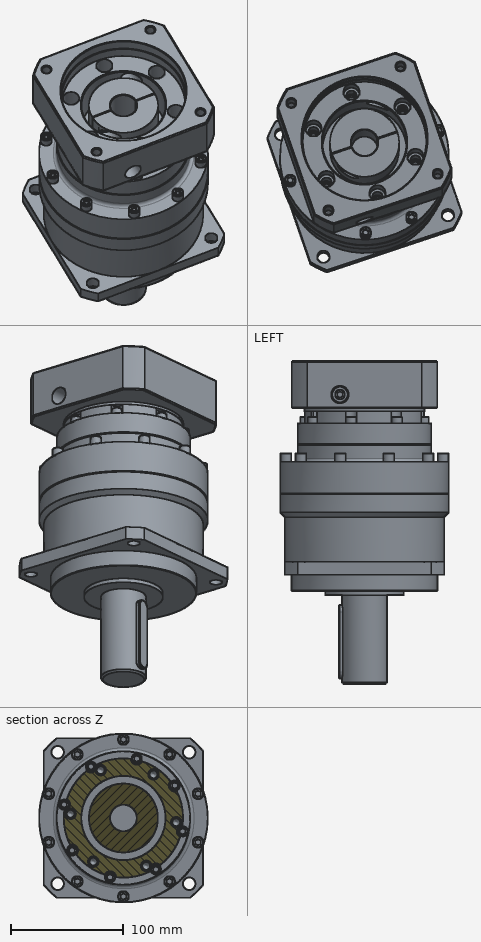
import cadquery as cq
import math

shaft_end_z = 0.0
collar_bottom_z = 79.0
pilot_bottom_z = 82.7
plate_bottom_z = 97.0
plate_top_z = 108.5
ring_bottom_z = 152.5
ring_seam_z = 169.0
ring_top_z = 197.5
neck_seam_z = 212.7
gearbox_top_z = 231.5
relief_top_z = 242.2
adapter_bottom_z = 244.8
total_height = 287.0

shaft_radius = 20.0
shaft_chamfer = 1.7
collar_radius = 35.0
pilot_radius = 65.0
pilot_chamfer = 0.5
barrel_radius = 71.0
plate_width = 2 * barrel_radius
plate_corner_radius = 92.5
plate_hole_radius = 5.5
plate_hole_spacing = 116.8
ring_diameter = 150.0
ring_radius = ring_diameter / 2
ring_taper = ring_radius - barrel_radius
input_neck_radius = 59.5
input_neck_fillet = 3.2
seam_depth = 0.5

key_width = 12.0
key_length = 65.5
key_bottom_z = 5.0
key_height = 23.0
key_chamfer = 1.0

screw_head_chamfer = 0.5
hex_across_flats = 5.0
hex_depth = 3.0

ring_screw_count = 10
ring_screw_circle = 69.7
ring_screw_first_angle = 90.0
ring_screw_height = 7.7
ring_screw_radius = 5.0

neck_screw_count = 8
neck_screw_circle = 54.0
neck_screw_first_angle = -12.7
neck_screw_height = 5.7
neck_screw_radius = 4.5
neck_screw_relief_radius = 5.2

adapter_width = 129.5
adapter_corner_radius = 82.5
adapter_chamfer = 1.1
spigot_radius = 53.0
spigot_band_radius = 53.5

recess_depth = 20.5
recess_step_depth = 10.3
recess_radius = 55.7
recess_lower_radius = 54.8
recess_chamfer = 0.5
hub_opening_radius = 37.3
hub_opening_chamfer = 1.0

motor_hole_spacing = 102.5
motor_hole_radius = 3.7
motor_hole_depth = 20.0
motor_hole_chamfer = 1.0

fixing_count = 6
fixing_circle = 47.0
fixing_first_angle = -4.6
fixing_counterbore_radius = 7.2
fixing_hole_radius = 4.5
fixing_thread_radius = 3.5
fixing_thread_depth = 8.5
fixing_floor_z = 248.3

hub_radius = 30.7
hub_drop = 1.0
hub_bore_radius = 11.8
hub_bore_chamfer = 0.5
hub_slot_width = 1.1
hub_slot_depth = 20.0
clamp_offset = 21.8
clamp_z = 257.2
clamp_access_radius = 7.7
clamp_pocket_radius = 7.0
clamp_pocket_floor = 8.5
clamp_head_radius = 4.3
clamp_head_length = 3.0

recess_floor_z = total_height - recess_depth
hub_top_z = recess_floor_z - hub_drop
long_cut = adapter_width


def cylinder(radius, bottom, top):
    return cq.Workplane("XY").workplane(offset=bottom).circle(radius).extrude(top - bottom)


def circle_points(radius, count, first_angle):
    angles = [math.radians(first_angle + i * 360 / count) for i in range(count)]
    return [(radius * math.cos(a), radius * math.sin(a)) for a in angles]


def square_points(spacing):
    return [(sx * spacing / 2, sy * spacing / 2) for sx in (-1, 1) for sy in (-1, 1)]


def round_cornered_block(width, corner_radius, bottom, top):
    block = cq.Workplane("XY").workplane(offset=bottom).rect(width, width).extrude(top - bottom)
    return block.intersect(cylinder(corner_radius, bottom, top))


def turned(profile):
    """Revolve (radius, z) points about the Z axis."""
    return cq.Workplane("XZ").polyline(profile).close().revolve(360, (0, 0), (0, 1))


def blind_hole(top, radius, depth):
    """A hole on the Z axis with a 45 degree drill tip, opening upwards."""
    return turned([(0, top), (radius, top), (radius, top - depth), (0, top - depth - radius)])


def countersink(top, radius, size):
    """A 45 degree bevel around the mouth of a hole on the Z axis."""
    return turned([(0, top), (radius + size, top), (radius, top - size), (0, top - size)])


def cap_screw_heads(points, base, radius, height):
    """Socket heads standing on the plane z = base."""
    heads = cq.Workplane("XY").workplane(offset=base).pushPoints(points).circle(radius)
    heads = heads.extrude(height).faces(">Z").chamfer(screw_head_chamfer)
    sockets = cq.Workplane("XY").workplane(offset=base + height).pushPoints(points)
    sockets = sockets.polygon(6, hex_across_flats, circumscribed=True).extrude(-hex_depth)
    return heads.cut(sockets)


def seam_groove(radius, z):
    return turned([(radius - seam_depth, z), (radius, z + seam_depth), (radius, z - seam_depth)])


def shaft_key():
    middle_z = key_bottom_z + key_length / 2
    key = cq.Workplane("XZ").center(0, middle_z).slot2D(key_length, key_width, 90).extrude(-key_height)
    return key.faces(">Y").chamfer(key_chamfer)


def gearbox_housing():
    shaft = cylinder(shaft_radius, shaft_end_z, pilot_bottom_z).faces("<Z").chamfer(shaft_chamfer)
    collar = cylinder(collar_radius, collar_bottom_z, pilot_bottom_z)
    pilot = cylinder(pilot_radius, pilot_bottom_z, plate_bottom_z).faces("<Z").chamfer(pilot_chamfer)
    barrel = cylinder(barrel_radius, plate_bottom_z, ring_bottom_z)

    plate = round_cornered_block(plate_width, plate_corner_radius, plate_bottom_z, plate_top_z)
    mounting_holes = cq.Workplane("XY").workplane(offset=plate_bottom_z)
    mounting_holes = mounting_holes.pushPoints(square_points(plate_hole_spacing))
    plate = plate.cut(mounting_holes.circle(plate_hole_radius).extrude(plate_top_z - plate_bottom_z))

    ring = cylinder(ring_radius, ring_bottom_z - ring_taper, ring_top_z)
    ring = ring.faces("<Z").chamfer(ring_taper)
    neck = cylinder(input_neck_radius, ring_top_z, gearbox_top_z)

    root = cylinder(input_neck_radius + input_neck_fillet, ring_top_z, ring_top_z + input_neck_fillet)
    root_hollow = cq.Solid.makeTorus(
        input_neck_radius + input_neck_fillet,
        input_neck_fillet,
        cq.Vector(0, 0, ring_top_z + input_neck_fillet),
    )
    body = ring.union(neck).union(root.cut(cq.Workplane(root_hollow)))
    body = body.cut(seam_groove(ring_radius, ring_seam_z))
    body = body.cut(seam_groove(input_neck_radius, neck_seam_z))
    return body.union(barrel).union(plate).union(pilot).union(collar).union(shaft)


def gearbox():
    body = gearbox_housing().union(shaft_key())
    ring_points = circle_points(ring_screw_circle, ring_screw_count, ring_screw_first_angle)
    body = body.union(cap_screw_heads(ring_points, ring_top_z, ring_screw_radius, ring_screw_height))
    neck_points = circle_points(neck_screw_circle, neck_screw_count, neck_screw_first_angle)
    body = body.union(cap_screw_heads(neck_points, gearbox_top_z, neck_screw_radius, neck_screw_height))
    thread_hole = blind_hole(gearbox_top_z, fixing_thread_radius, fixing_thread_depth)
    for x, y in circle_points(fixing_circle, fixing_count, fixing_first_angle):
        body = body.cut(thread_hole.translate((x, y, 0)))
    return body


def clamp_access_holes(radius, from_x):
    """Two opposite sideways holes, each starting at the distance from_x from the YZ plane."""
    hole = cq.Workplane("YZ").workplane(offset=-from_x).center(clamp_offset, clamp_z)
    hole = hole.circle(radius).extrude(-long_cut)
    return hole.union(hole.rotate((0, 0, 0), (0, 0, 1), 180))


def motor_adapter():
    block = round_cornered_block(adapter_width, adapter_corner_radius, adapter_bottom_z, total_height)
    block = block.faces(">Z or <Z").chamfer(adapter_chamfer)
    band = cylinder(spigot_band_radius, relief_top_z, adapter_bottom_z)
    spigot = cylinder(spigot_radius, gearbox_top_z, relief_top_z)
    body = block.union(band).union(spigot)

    body = body.cut(cylinder(recess_radius, total_height - recess_step_depth, total_height))
    body = body.cut(cylinder(recess_lower_radius, recess_floor_z, total_height))
    body = body.cut(countersink(total_height, recess_radius, recess_chamfer))
    body = body.cut(cylinder(hub_opening_radius, gearbox_top_z, recess_floor_z))
    body = body.cut(countersink(recess_floor_z, hub_opening_radius, hub_opening_chamfer))

    reliefs = cq.Workplane("XY").workplane(offset=gearbox_top_z)
    reliefs = reliefs.pushPoints(circle_points(neck_screw_circle, neck_screw_count, neck_screw_first_angle))
    body = body.cut(reliefs.circle(neck_screw_relief_radius).extrude(relief_top_z - gearbox_top_z))

    fixing_hole = cylinder(fixing_hole_radius, gearbox_top_z, fixing_floor_z)
    fixing_hole = fixing_hole.union(
        cylinder(fixing_counterbore_radius, fixing_floor_z, recess_floor_z)
    )
    for x, y in circle_points(fixing_circle, fixing_count, fixing_first_angle):
        body = body.cut(fixing_hole.translate((x, y, 0)))

    motor_hole = blind_hole(total_height, motor_hole_radius, motor_hole_depth)
    motor_hole = motor_hole.union(countersink(total_height, motor_hole_radius, motor_hole_chamfer))
    for x, y in square_points(motor_hole_spacing):
        body = body.cut(motor_hole.translate((x, y, 0)))

    return body.cut(clamp_access_holes(clamp_access_radius, clamp_pocket_floor))


def clamping_hub():
    hub = cylinder(hub_radius, gearbox_top_z, hub_top_z)
    hub = hub.cut(cylinder(hub_bore_radius, gearbox_top_z, hub_top_z))
    hub = hub.cut(countersink(hub_top_z, hub_bore_radius, hub_bore_chamfer))
    slot = cq.Workplane("XY").workplane(offset=hub_top_z - hub_slot_depth)
    hub = hub.cut(slot.rect(hub_slot_width, 2 * hub_radius).extrude(hub_slot_depth))

    hub = hub.cut(clamp_access_holes(clamp_pocket_radius, clamp_pocket_floor))
    head = cq.Workplane("YZ").workplane(offset=-clamp_pocket_floor).center(clamp_offset, clamp_z)
    head = head.circle(clamp_head_radius).extrude(-clamp_head_length)
    socket = cq.Workplane("YZ").workplane(offset=-clamp_pocket_floor).center(clamp_offset, clamp_z)
    socket = socket.polygon(6, hex_across_flats, circumscribed=True).extrude(-clamp_head_length)
    head = head.cut(socket)
    return hub.union(head).union(head.rotate((0, 0, 0), (0, 0, 1), 180))


result = cq.Compound.makeCompound([gearbox().val(), motor_adapter().val(), clamping_hub().val()])